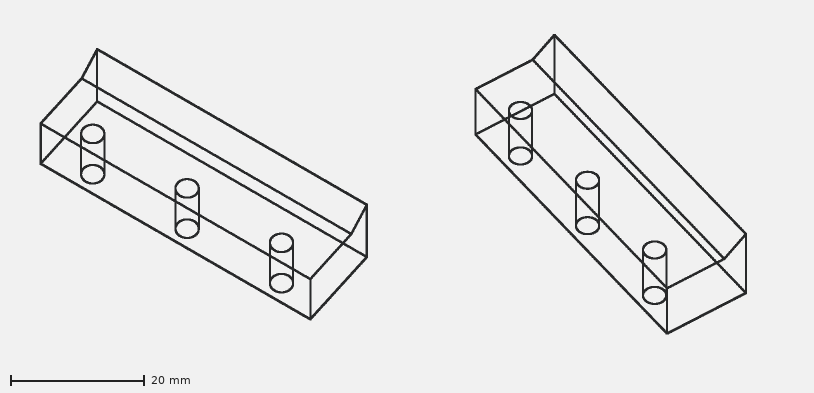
import cadquery as cq

length = 50.0
depth = 14.5
total_height = 13.0

step_height = 10.0
lip_depth = 4.0
step_depth = depth - lip_depth

hole_diameter = 3.5
hole_count = 3
hole_spacing = 17.5
hole_front_offset = 3.0
first_hole_x = (length - (hole_count - 1) * hole_spacing) / 2


def make_body():
    """Extrude the side profile (Y, Z) along X."""
    profile = [
        (0, 0),
        (depth, 0),
        (depth, total_height),
        (step_depth, step_height),
        (0, step_height),
    ]
    return cq.Workplane("YZ").polyline(profile).close().extrude(length)


def make_holes():
    """Cylinders that pass through the full step height."""
    centers = [(first_hole_x + i * hole_spacing, hole_front_offset) for i in range(hole_count)]
    return cq.Workplane("XY").pushPoints(centers).circle(hole_diameter / 2).extrude(step_height)


result = make_body().cut(make_holes())